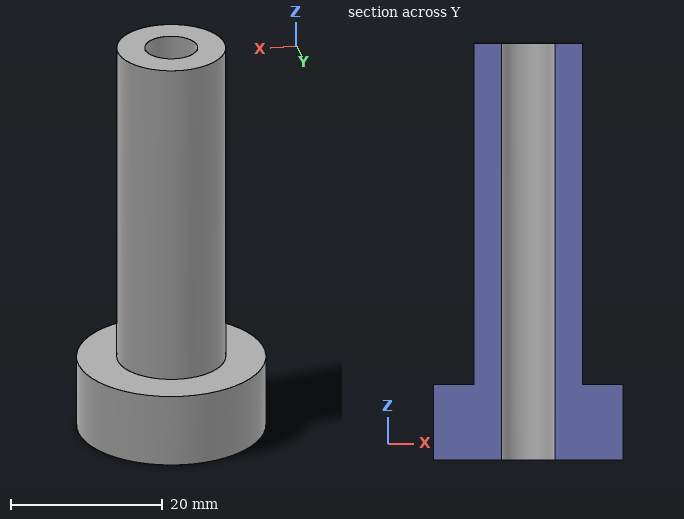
import cadquery as cq

total_height = 55.0
flange_diameter = 25.0
flange_height = 10.0
shaft_diameter = 14.4
bore_diameter = 7.0

flange = cq.Workplane("XY").circle(flange_diameter / 2).extrude(flange_height)
shaft = cq.Workplane("XY").circle(shaft_diameter / 2).extrude(total_height)

bore = cq.Workplane("XY").circle(bore_diameter / 2).extrude(total_height)

result = flange.union(shaft).cut(bore)